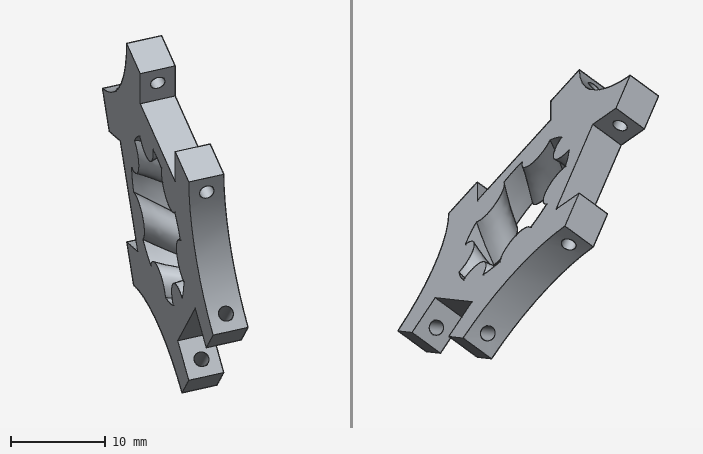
import cadquery as cq
import math

thickness = 3.9
end_distance = 16.2
end_half_width = 10.95
slot_floor_distance = 11.7
slot_half_width = 6.15
waist_distance = 15.33
side_count = 3

pin_diameter = 1.6
pin_edge_distance = 1.95
pin_half_length = 12.48

bore_radius = 9.25
lobe_tip_radius = 6.85
lobe_count = 7
lobe_half_angle = 16.2
first_lobe_angle = 271.0
bore_twist = 19.0


def polar(radius, angle):
    """Point in the profile plane at an angle in degrees from +X."""
    turn = math.radians(angle)
    return (radius * math.cos(turn), radius * math.sin(turn))


def turned(point, angle):
    """Point rotated about the bore axis."""
    radius = math.hypot(*point)
    return polar(radius, math.degrees(math.atan2(point[1], point[0])) + angle)


def back_plane():
    """Profile plane on the +Y face, extruding toward -Y."""
    return cq.Workplane("XZ", origin=(0, thickness / 2, 0))


def make_plate():
    """Plate outline: three slotted ends joined by concave arcs."""
    slotted_end = [
        (end_half_width, end_distance),
        (slot_half_width, end_distance),
        (slot_half_width, slot_floor_distance),
        (-slot_half_width, slot_floor_distance),
        (-slot_half_width, end_distance),
        (-end_half_width, end_distance),
    ]
    step = 360 / side_count
    outline = back_plane().moveTo(*slotted_end[0])
    for side in range(side_count):
        angle = side * step
        for point in slotted_end[1:]:
            outline = outline.lineTo(*turned(point, angle))
        waist = polar(waist_distance, 90 + angle + step / 2)
        outline = outline.threePointArc(waist, turned(slotted_end[0], angle + step))
    return outline.close().extrude(thickness)


def make_bore():
    """Bore with rounded inward lobes, twisted along its axis."""
    step = 360 / lobe_count
    back_angle = first_lobe_angle + bore_twist
    outline = back_plane().moveTo(*polar(bore_radius, back_angle - lobe_half_angle))
    for lobe in range(lobe_count):
        angle = back_angle + lobe * step
        lobe_end = polar(bore_radius, angle + lobe_half_angle)
        outline = outline.threePointArc(polar(lobe_tip_radius, angle), lobe_end)
        valley_middle = polar(bore_radius, angle + step / 2)
        next_lobe = polar(bore_radius, angle + step - lobe_half_angle)
        outline = outline.threePointArc(valley_middle, next_lobe)
    return outline.close().twistExtrude(thickness, -bore_twist)


def make_pin_hole(angle):
    """Straight hole through both arms of one slotted end."""
    hole = (
        cq.Workplane("YZ")
        .center(0, end_distance - pin_edge_distance)
        .circle(pin_diameter / 2)
        .extrude(pin_half_length, both=True)
    )
    return hole.rotate((0, 0, 0), (0, 1, 0), angle)


result = make_plate().cut(make_bore())
for side in range(side_count):
    result = result.cut(make_pin_hole(side * 360 / side_count))